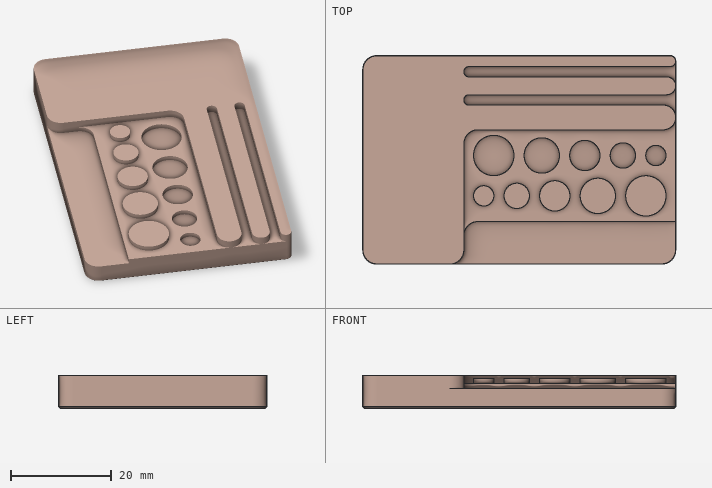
import cadquery as cq

LENGTH = 62.0
WIDTH = 41.3
HEIGHT = 6.6
CORNER_RADIUS = 2.8
BOTTOM_CHAMFER = 0.4

PIN_TOP_DEPTH = 0.6
RECESS_DEPTH = 1.6
LEDGE_DEPTH = 2.6

PAD_LENGTH = 20.0
GROOVE_WIDTH = 2.05
FINGER_WIDTHS = [2.2, 3.55, 4.9]
LEDGE_WIDTH = 8.45

DIAMETERS = [4.0, 5.0, 6.0, 7.0, 8.0]
ROW_MARGIN = 1.9
ROW_SPACING = 8.0
HOLE_DEPTH = 1.0

RECESS_FLOOR = HEIGHT - RECESS_DEPTH
LEDGE_FLOOR = HEIGHT - LEDGE_DEPTH
FINGER_ZONE_WIDTH = sum(FINGER_WIDTHS) + 2 * GROOVE_WIDTH
RECESS_BACK = WIDTH - FINGER_ZONE_WIDTH
ROW_MIDDLE = (LEDGE_WIDTH + RECESS_BACK) / 2


def box(x_min, x_max, y_min, y_max, z_min, z_max):
    """Axis-aligned box between the given limits."""
    size = (x_max - x_min, y_max - y_min, z_max - z_min)
    return cq.Workplane("XY").box(*size, centered=False).translate((x_min, y_min, z_min))


def block():
    """Plate with rounded corners and a chamfered bottom rim."""
    body = box(0, LENGTH, 0, WIDTH, 0, HEIGHT)
    body = body.edges("|Z and (<X or <Y)").fillet(CORNER_RADIUS)
    body = body.edges("|Z and >X and >Y").fillet(FINGER_WIDTHS[0] / 2)
    return body.faces("<Z").edges().chamfer(BOTTOM_CHAMFER)


def cylinder(x, y, radius, z_min, z_max):
    """Upright cylinder centred at (x, y)."""
    return cq.Workplane("XY", origin=(x, y, z_min)).circle(radius).extrude(z_max - z_min)


def front_ledge():
    """Cutter for the low ledge along the front, with its rounded ends at the pad."""
    cutter = box(PAD_LENGTH, LENGTH, 0, LEDGE_WIDTH, LEDGE_FLOOR, HEIGHT)
    cutter = cutter.edges("|Z and <X and >Y").fillet(CORNER_RADIUS)
    flare = box(PAD_LENGTH - CORNER_RADIUS, PAD_LENGTH, 0, CORNER_RADIUS, LEDGE_FLOOR, HEIGHT)
    arc_x = PAD_LENGTH - CORNER_RADIUS
    pad_corner = cylinder(arc_x, CORNER_RADIUS, CORNER_RADIUS, LEDGE_FLOOR, HEIGHT)
    return cutter.union(flare.cut(pad_corner))


def finger_zone():
    """Cutter for everything right of the pad and behind the ledge, down to the recess floor."""
    cutter = box(PAD_LENGTH, LENGTH, LEDGE_WIDTH - CORNER_RADIUS, RECESS_BACK, RECESS_FLOOR, HEIGHT)
    cutter = cutter.edges("|Z and <X and >Y").fillet(CORNER_RADIUS)

    finger_back = WIDTH
    for finger_width in FINGER_WIDTHS:
        cutter = cutter.union(finger_tip_cutter(finger_back, finger_width))
        finger_back -= finger_width + GROOVE_WIDTH

    groove_back = WIDTH
    for finger_width in FINGER_WIDTHS[:-1]:
        groove_back -= finger_width
        cutter = cutter.union(groove(groove_back))
        groove_back -= GROOVE_WIDTH
    return cutter


def groove(groove_back):
    """Cutter for one groove, round at the pad and open at the right side."""
    radius = GROOVE_WIDTH / 2
    end_x = PAD_LENGTH + radius
    straight = box(end_x, LENGTH, groove_back - GROOVE_WIDTH, groove_back, RECESS_FLOOR, HEIGHT)
    return straight.union(cylinder(end_x, groove_back - radius, radius, RECESS_FLOOR, HEIGHT))


def finger_tip_cutter(finger_back, finger_width):
    """Material to remove around the half-round tip of one finger."""
    radius = finger_width / 2
    tip_start = LENGTH - radius
    square_end = box(tip_start, LENGTH, finger_back - finger_width, finger_back, RECESS_FLOOR, HEIGHT)
    return square_end.cut(cylinder(tip_start, finger_back - radius, radius, RECESS_FLOOR, HEIGHT))


def cylinder_row(diameters, y, z_min, z_max):
    """Row of cylinders with equal gaps, spread between the recess margins."""
    row_start = PAD_LENGTH + ROW_MARGIN
    row_end = LENGTH - ROW_MARGIN
    gap = (row_end - row_start - sum(diameters)) / (len(diameters) - 1)
    row = cq.Workplane("XY")
    left = row_start
    for diameter in diameters:
        radius = diameter / 2
        row = row.add(cylinder(left + radius, y, radius, z_min, z_max))
        left += diameter + gap
    return row.combine()


holes = cylinder_row(DIAMETERS[::-1], ROW_MIDDLE + ROW_SPACING / 2, RECESS_FLOOR - HOLE_DEPTH, RECESS_FLOOR)
pins = cylinder_row(DIAMETERS, ROW_MIDDLE - ROW_SPACING / 2, RECESS_FLOOR, HEIGHT - PIN_TOP_DEPTH)

result = block().cut(finger_zone()).cut(front_ledge()).cut(holes).union(pins)